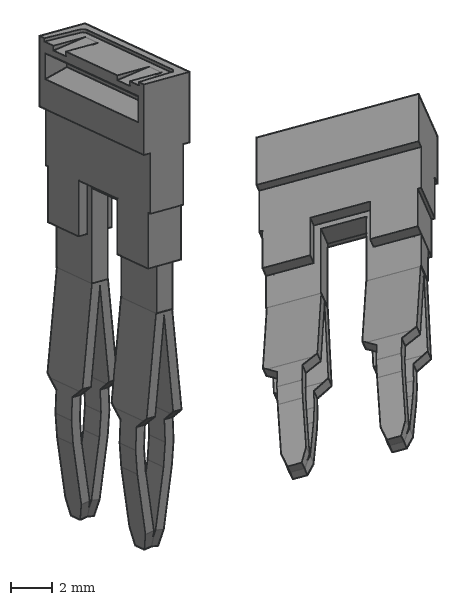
import cadquery as cq
import math

height = 24.72

head_width = 8.3
head_depth = 2.8
head_bottom = 21.05
neck_depth = 2.03
neck_bottom = 17.92
housing_leg_width = 7.95
housing_leg_bottom = 15.03
housing_slot_width = 3.07

recess_depth = 0.17
recess_front_width = 7.5
recess_back_width = 7.25
recess_back_wall = 0.47
recess_corner_radius = 0.25

groove_spacing = 5.07
groove_width = 1.0
groove_length = 1.95
groove_end_depth = 0.25

pocket_width = 7.37
pocket_top = 23.95
pocket_bottom = 22.62
pocket_floor_width = 6.43
pocket_floor_top = 23.39
pocket_floor_bottom = 23.16
pocket_depth = 0.96

plate_thickness = 1.0
plate_leg_bottom = 12.58
plate_slot_width = 2.32
plate_slot_top = 17.53
plate_top = head_bottom
housing_side_wall = 0.37
insert_width = housing_leg_width - 2 * housing_side_wall

prong_spacing = 5.1
spring_width = 2.8
spring_bottom = 7.25
pin_width = 1.29
pin_top = 6.6
tip_width = 0.75
tip_length = 0.95
strip_depth = 0.52

upper_bend_z = 7.07
upper_bend_y = 1.1
belly_z = 5.41
belly_y = 1.15
lower_bend_z = 4.15
lower_bend_y = 1.06
tip_y = 0.42

head_front = -head_depth / 2


def box(width, depth, bottom, top):
    """Block centred on the Z axis between two heights."""
    return cq.Workplane("XY").workplane(offset=bottom).rect(width, depth).extrude(top - bottom)


def top_recess():
    """Recess that widens toward the front, with rounded back corners."""
    back = -head_front - recess_back_wall
    outline = [
        (-recess_front_width / 2, head_front),
        (recess_front_width / 2, head_front),
        (recess_back_width / 2, back),
        (-recess_back_width / 2, back),
    ]
    recess = cq.Workplane("XY").workplane(offset=height - recess_depth).polyline(outline).close()
    return recess.extrude(recess_depth).edges("|Z and >Y").fillet(recess_corner_radius)


def sloping_groove(center_x):
    """Wedge-shaped groove, flush with the recess floor at its back end."""
    floor = height - recess_depth
    profile = [
        (head_front, floor),
        (head_front, floor - groove_end_depth),
        (head_front + groove_length, floor),
    ]
    wedge = cq.Workplane("YZ", origin=(center_x, 0, 0)).polyline(profile).close()
    return wedge.extrude(groove_width / 2, both=True)


def grip_pocket():
    """Pocket whose four walls slope in to a smaller flat floor."""
    mouth_z = (pocket_top + pocket_bottom) / 2
    floor_z = (pocket_floor_top + pocket_floor_bottom) / 2
    mouth = cq.Workplane("XZ", origin=(0, head_front, mouth_z)).rect(pocket_width, pocket_top - pocket_bottom)
    floor = mouth.workplane(offset=-pocket_depth).center(0, floor_z - mouth_z)
    return floor.rect(pocket_floor_width, pocket_floor_top - pocket_floor_bottom).loft(ruled=True)


def plate():
    """U-shaped plate: narrow inside the housing, wider on the legs below it."""
    insert = box(insert_width, plate_thickness, housing_leg_bottom, plate_top)
    legs = box(housing_leg_width, plate_thickness, plate_leg_bottom, housing_leg_bottom)
    slot = box(plate_slot_width, plate_thickness, plate_leg_bottom, plate_slot_top)
    return insert.union(legs).cut(slot)


def tip_corner(side):
    """Corner cut off one side of a tip, square to the lowest stretch of the front strip."""
    slope_angle = math.atan2(lower_bend_y - tip_y, lower_bend_z)
    strip_face = cq.Plane(
        origin=(0, -tip_y, 0),
        xDir=(1, 0, 0),
        normal=(0, -math.cos(slope_angle), -math.sin(slope_angle)),
    )
    outline = [
        (side * tip_width / 2, 0),
        (side * pin_width / 2, tip_length),
        (side * pin_width, tip_length),
        (side * pin_width, -tip_length),
        (side * tip_width / 2, -tip_length),
    ]
    return cq.Workplane(strip_face).polyline(outline).close().extrude(2 * strip_depth, both=True)


def front_strip():
    """Front strip of a prong: a bent profile trimmed to the spring, shoulder and pin widths."""
    upper_slope = (upper_bend_y - plate_thickness / 2) / (plate_leg_bottom - upper_bend_z)
    lower_slope = (lower_bend_y - tip_y) / lower_bend_z
    split_z = plate_leg_bottom - (strip_depth - plate_thickness / 2) / upper_slope
    rejoin_z = (strip_depth - tip_y) / lower_slope
    profile = [
        (0, plate_leg_bottom),
        (-plate_thickness / 2, plate_leg_bottom),
        (-upper_bend_y, upper_bend_z),
        (-belly_y, belly_z),
        (-lower_bend_y, lower_bend_z),
        (-tip_y, 0),
        (0, tip_y * lower_slope),
        (0, rejoin_z),
        (strip_depth - lower_bend_y, lower_bend_z),
        (strip_depth - belly_y, belly_z),
        (strip_depth - upper_bend_y, upper_bend_z),
        (0, split_z),
    ]
    bent = cq.Workplane("YZ").polyline(profile).close().extrude(spring_width / 2, both=True)
    outline = [
        (spring_width / 2, plate_leg_bottom),
        (spring_width / 2, spring_bottom),
        (pin_width / 2, pin_top),
        (pin_width / 2, 0),
        (-pin_width / 2, 0),
        (-pin_width / 2, pin_top),
        (-spring_width / 2, spring_bottom),
        (-spring_width / 2, plate_leg_bottom),
    ]
    strip = bent.intersect(cq.Workplane("XZ").polyline(outline).close().extrude(head_depth, both=True))
    for side in (-1, 1):
        strip = strip.cut(tip_corner(side))
    return strip


def make_bridge():
    """Plate with two prongs, each a front strip and its mirror image behind."""
    strip = front_strip()
    prong = strip.union(strip.mirror("XZ"))
    bridge = plate()
    for side in (-1, 1):
        bridge = bridge.union(prong.translate((side * prong_spacing / 2, 0, 0)))
    return bridge


def make_housing():
    """Head, neck and two legs, with a cavity that fits the plate."""
    housing = box(head_width, head_depth, head_bottom, height)
    housing = housing.union(box(head_width, neck_depth, neck_bottom, head_bottom))
    housing = housing.union(box(housing_leg_width, neck_depth, housing_leg_bottom, neck_bottom))
    housing = housing.cut(box(housing_slot_width, neck_depth, housing_leg_bottom, neck_bottom))
    housing = housing.cut(top_recess()).cut(grip_pocket())
    for side in (-1, 1):
        housing = housing.cut(sloping_groove(side * groove_spacing / 2))
    return housing.cut(plate())


housing = make_housing()
bridge = make_bridge()

result = cq.Compound.makeCompound([housing.solids().val(), bridge.solids().val()])